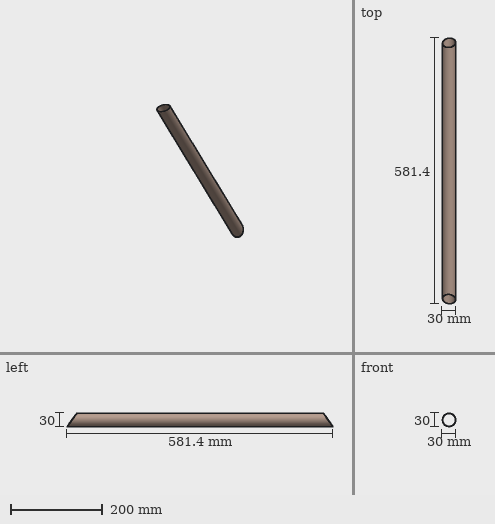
import cadquery as cq

outer_diameter = 30.0
wall_thickness = 1.5
overall_length = 581.36

axis_length = 560.0
mitre_roll = 6.0

outer_radius = outer_diameter / 2
inner_radius = outer_radius - wall_thickness
shortest_length = 2 * axis_length - overall_length


def straight_tube():
    """Square-ended round tube along Y, centred on the origin."""
    section = cq.Workplane("XZ").circle(outer_radius).circle(inner_radius)
    return section.extrude(overall_length / 2, both=True)


def mitre_envelope():
    """Prism with sloping ends, longest at the bottom, rolled about the tube axis."""
    long_half = overall_length / 2
    short_half = shortest_length / 2
    side_outline = [
        (-long_half, -outer_radius),
        (long_half, -outer_radius),
        (short_half, outer_radius),
        (-short_half, outer_radius),
    ]
    prism = cq.Workplane("YZ").polyline(side_outline).close().extrude(outer_diameter, both=True)
    return prism.rotate((0, 0, 0), (0, 1, 0), -mitre_roll)


result = straight_tube().intersect(mitre_envelope())